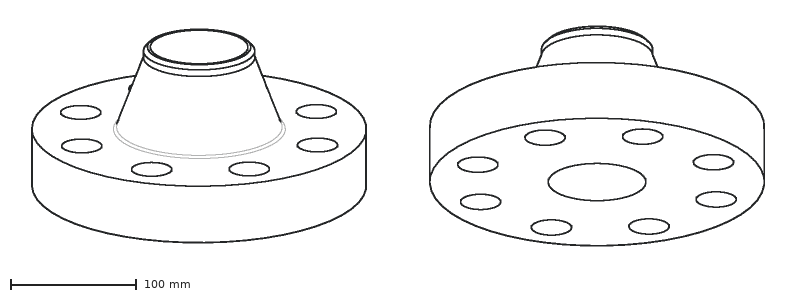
import cadquery as cq

flange_diameter = 266.5
flange_thickness = 48.0

bolt_count = 8
bolt_circle_diameter = 203.2
bolt_hole_diameter = 32.0

total_height = 117.3
hub_base_diameter = 133.3
hub_fillet_radius = 2.7
neck_diameter = 88.8
neck_land_height = 5.5
weld_bevel = 3.2
bore_diameter = 77.9

neck_top_of_land = total_height - weld_bevel
neck_bottom = neck_top_of_land - neck_land_height


def make_flange():
    return cq.Workplane("XY").circle(flange_diameter / 2).extrude(flange_thickness)


def make_hub():
    """Revolve the solid hub: a cone, a short straight neck and a 45 degree weld bevel."""
    neck_radius = neck_diameter / 2
    profile = [
        (0, flange_thickness),
        (hub_base_diameter / 2, flange_thickness),
        (neck_radius, neck_bottom),
        (neck_radius, neck_top_of_land),
        (neck_radius - weld_bevel, total_height),
        (0, total_height),
    ]
    return cq.Workplane("XZ").polyline(profile).close().revolve(360, (0, 0), (0, 1))


def fillet_hub_base(body):
    """Round the corner where the cone meets the flange."""
    margin = 1.3
    half_size = hub_base_diameter / 2 + margin
    base_edge = cq.selectors.BoxSelector(
        (-half_size, -half_size, flange_thickness - margin),
        (half_size, half_size, flange_thickness + margin),
        boundingbox=True,
    )
    return body.edges(base_edge).fillet(hub_fillet_radius)


def make_bore():
    return cq.Workplane("XY").circle(bore_diameter / 2).extrude(total_height)


def make_bolt_holes():
    return (
        cq.Workplane("XY")
        .polarArray(bolt_circle_diameter / 2, 0, 360, bolt_count)
        .circle(bolt_hole_diameter / 2)
        .extrude(flange_thickness)
    )


body = fillet_hub_base(make_flange().union(make_hub()))
result = body.cut(make_bore()).cut(make_bolt_holes())